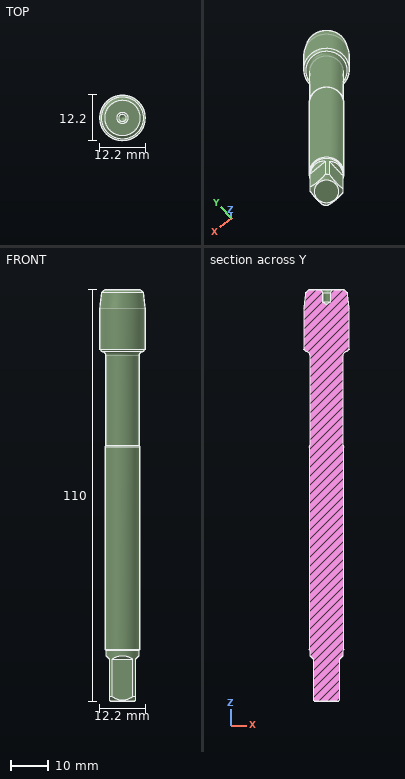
import cadquery as cq
import math

length = 110.0
shank_bottom = 13.5
shank_top = 68.3
head_bottom = 94.0
head_taper_start = 104.9
tip_chamfer_start = 109.2

drive_radius = 8.9 / 2
shank_radius = 9.4 / 2
neck_radius = 9.0 / 2
head_radius = 12.2 / 2
taper_end_radius = 5.6
tip_radius = 4.7

end_chamfer = 1.2
shank_cone_height = 0.3
head_chamfer = 0.7
neck_fillet = 1.0

square_width = 7.0
square_top = 11.2

hole_diameter = 2.0
countersink_diameter = 3.0
countersink_angle = 60
hole_depth = 3.3
drill_point_angle = 118


def turned_body():
    """Revolve the stepped profile of drive end, shank, neck and head about Z."""
    fillet_top = head_bottom - head_chamfer
    fillet_bottom = fillet_top - neck_fillet
    fillet_inset = neck_fillet * (1 - math.sqrt(0.5))
    fillet_middle = (neck_radius + fillet_inset, fillet_top - fillet_inset)
    return (
        cq.Workplane("XZ")
        .moveTo(0, 0)
        .lineTo(drive_radius - end_chamfer, 0)
        .lineTo(drive_radius, end_chamfer)
        .lineTo(drive_radius, shank_bottom)
        .lineTo(shank_radius, shank_bottom + shank_cone_height)
        .lineTo(shank_radius, shank_top - shank_cone_height)
        .lineTo(neck_radius, shank_top)
        .lineTo(neck_radius, fillet_bottom)
        .threePointArc(fillet_middle, (neck_radius + neck_fillet, fillet_top))
        .lineTo(head_radius, head_bottom)
        .lineTo(head_radius, head_taper_start)
        .lineTo(taper_end_radius, tip_chamfer_start)
        .lineTo(tip_radius, length)
        .lineTo(0, length)
        .close()
        .revolve(360, (0, 0, 0), (0, 1, 0))
    )


def flat_cutter(angle):
    """Cutter for one flat of the square, with a 45 degree run-out at its top."""
    flat_distance = square_width / 2
    runout = head_radius - flat_distance
    return (
        cq.Workplane("XZ")
        .moveTo(flat_distance, 0)
        .lineTo(head_radius, 0)
        .lineTo(head_radius, square_top + runout)
        .lineTo(flat_distance, square_top)
        .close()
        .extrude(head_radius, both=True)
        .rotate((0, 0, 0), (0, 0, 1), angle)
    )


def centre_hole():
    """Countersunk drilled hole with a conical bottom, opening at the head end."""
    hole_radius = hole_diameter / 2
    countersink_radius = countersink_diameter / 2
    countersink_depth = (countersink_radius - hole_radius) / math.tan(math.radians(countersink_angle / 2))
    point_depth = hole_radius / math.tan(math.radians(drill_point_angle / 2))
    return (
        cq.Workplane("XZ")
        .moveTo(0, length)
        .lineTo(countersink_radius, length)
        .lineTo(hole_radius, length - countersink_depth)
        .lineTo(hole_radius, length - hole_depth)
        .lineTo(0, length - hole_depth - point_depth)
        .close()
        .revolve(360, (0, 0, 0), (0, 1, 0))
    )


result = turned_body()
for flat_angle in (0, 90, 180, 270):
    result = result.cut(flat_cutter(flat_angle))
result = result.cut(centre_hole())